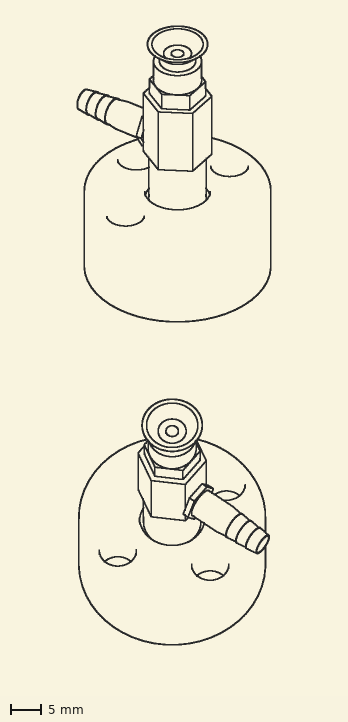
import cadquery as cq
import math

BASE_DIAMETER = 31.0
BASE_HEIGHT = 16.0
EDGE_ROUND = 0.6
RECESS_DIAMETER = 10.85
RECESS_DEPTH = 2.0
SCREW_CIRCLE_RADIUS = 11.0
SCREW_ANGLES = (90, 180, 270)
SCREW_HOLE_DIAMETER = 3.5
COUNTERBORE_DIAMETER = 6.15
COUNTERBORE_DEPTH = BASE_HEIGHT / 2

STEM_BOTTOM = BASE_HEIGHT - RECESS_DEPTH
STEM_DIAMETER = 9.5
HEX_TURN = 17.5
BODY_BOTTOM = 23.5
BODY_HEIGHT = 12.0
BODY_ACROSS_FLATS = 9.9
NUT_HEIGHT = 3.0
NUT_ACROSS_FLATS = 8.1
COLLAR_DIAMETER = 8.0
COLLAR_HEIGHT = 4.0
NECK_DIAMETER = 6.03
CUP_RIM_DIAMETER = 10.05
CUP_HEIGHT = 1.95
CUP_MOUTH_DIAMETER = 8.5
CUP_FLOOR_DIAMETER = 4.65
PASSAGE_DIAMETER = 2.05
TOTAL_HEIGHT = 46.0

BODY_TOP = BODY_BOTTOM + BODY_HEIGHT
NUT_TOP = BODY_TOP + NUT_HEIGHT
COLLAR_TOP = NUT_TOP + COLLAR_HEIGHT
CUP_FLOOR = TOTAL_HEIGHT - CUP_HEIGHT

FLANGE_ACROSS_FLATS = 6.0
FLANGE_THICKNESS = 1.0
TUBE_RADIUS = 2.5
TUBE_LENGTH = 5.05
RIDGE_COUNT = 4
RIDGE_LENGTH = 2.0
RIDGE_RISE = 0.28
RIDGE_STEP = 0.15
BARB_BORE_DIAMETER = 3.2
BARB_AXIS_HEIGHT = BODY_BOTTOM + FLANGE_ACROSS_FLATS / 2


def cylinder(diameter, bottom, top):
    """Upright cylinder on the Z axis."""
    return cq.Workplane("XY").workplane(offset=bottom).circle(diameter / 2).extrude(top - bottom)


def hexagon_diameter(across_flats):
    """Diameter through the corners of a hexagon."""
    return across_flats / math.cos(math.radians(30))


def hex_prism(across_flats, bottom, top):
    """Upright hexagonal prism on the Z axis, with one flat facing the barb."""
    prism = (
        cq.Workplane("XY")
        .workplane(offset=bottom)
        .polygon(6, hexagon_diameter(across_flats))
        .extrude(top - bottom)
    )
    return prism.rotate((0, 0, 0), (0, 0, 1), HEX_TURN + 30)


def barb_plane(distance):
    """Plane across the barb axis at a distance from the Z axis; its normal points outwards."""
    angle = math.radians(180 + HEX_TURN)
    outward = cq.Vector(math.cos(angle), math.sin(angle), 0)
    origin = outward * distance + cq.Vector(0, 0, BARB_AXIS_HEIGHT)
    across = cq.Vector(-math.sin(angle), math.cos(angle), 0)
    return cq.Plane(origin=origin, xDir=across, normal=outward)


def screw_hole_cutter():
    """Counterbored hole on the Z axis, with a rounded edge where the small hole starts."""
    hole_radius = SCREW_HOLE_DIAMETER / 2
    bore_radius = COUNTERBORE_DIAMETER / 2
    floor = BASE_HEIGHT - COUNTERBORE_DEPTH
    return (
        cq.Workplane("XZ")
        .lineTo(hole_radius, 0)
        .lineTo(hole_radius, floor - EDGE_ROUND)
        .radiusArc((hole_radius + EDGE_ROUND, floor), EDGE_ROUND)
        .lineTo(bore_radius, floor)
        .lineTo(bore_radius, BASE_HEIGHT)
        .lineTo(0, BASE_HEIGHT)
        .close()
        .revolve(360, (0, 0, 0), (0, 1, 0))
    )


def make_base():
    base = cylinder(BASE_DIAMETER, 0, BASE_HEIGHT)
    base = base.cut(cylinder(RECESS_DIAMETER, STEM_BOTTOM, BASE_HEIGHT))
    for angle in SCREW_ANGLES:
        cutter = screw_hole_cutter().translate((SCREW_CIRCLE_RADIUS, 0, 0))
        base = base.cut(cutter.rotate((0, 0, 0), (0, 0, 1), angle))
    return base.faces(">Z").edges().fillet(EDGE_ROUND)


def make_cup():
    """Flared suction cup with a flat floor, level with the top of the neck."""
    return (
        cq.Workplane("XZ")
        .moveTo(0, CUP_FLOOR)
        .lineTo(NECK_DIAMETER / 2, CUP_FLOOR)
        .lineTo(CUP_RIM_DIAMETER / 2, TOTAL_HEIGHT)
        .lineTo(CUP_MOUTH_DIAMETER / 2, TOTAL_HEIGHT)
        .lineTo(CUP_FLOOR_DIAMETER / 2, CUP_FLOOR)
        .close()
        .revolve(360, (0, 0, 0), (0, 1, 0))
    )


def make_fitting():
    fitting = (
        cylinder(STEM_DIAMETER, STEM_BOTTOM, BODY_BOTTOM)
        .union(hex_prism(BODY_ACROSS_FLATS, BODY_BOTTOM, BODY_TOP))
        .union(hex_prism(NUT_ACROSS_FLATS, BODY_TOP, NUT_TOP))
        .union(cylinder(COLLAR_DIAMETER, NUT_TOP, COLLAR_TOP))
        .union(cylinder(NECK_DIAMETER, COLLAR_TOP, CUP_FLOOR))
        .union(make_cup())
    )
    port_bottom = BARB_AXIS_HEIGHT - BARB_BORE_DIAMETER / 2
    passage = cylinder(PASSAGE_DIAMETER, port_bottom, CUP_FLOOR)
    port = cq.Workplane(barb_plane(0)).circle(BARB_BORE_DIAMETER / 2).extrude(BODY_ACROSS_FLATS / 2)
    return fitting.cut(passage).cut(port)


def make_barb():
    body_face = BODY_ACROSS_FLATS / 2
    flange = (
        cq.Workplane(barb_plane(body_face))
        .polygon(6, hexagon_diameter(FLANGE_ACROSS_FLATS))
        .extrude(FLANGE_THICKNESS)
    )
    position = body_face + FLANGE_THICKNESS
    barb = flange.union(cq.Workplane(barb_plane(position)).circle(TUBE_RADIUS).extrude(TUBE_LENGTH))
    position += TUBE_LENGTH
    ridge_radius = TUBE_RADIUS
    for _ in range(RIDGE_COUNT):
        ridge = (
            cq.Workplane(barb_plane(position))
            .circle(ridge_radius)
            .workplane(offset=RIDGE_LENGTH)
            .circle(ridge_radius - RIDGE_RISE)
            .loft()
        )
        barb = barb.union(ridge)
        position += RIDGE_LENGTH
        ridge_radius += RIDGE_STEP - RIDGE_RISE
    bore_length = position - body_face
    bore = cq.Workplane(barb_plane(body_face)).circle(BARB_BORE_DIAMETER / 2).extrude(bore_length)
    return barb.cut(bore)


base = make_base()
fitting = make_fitting()
barb = make_barb()

result = cq.Compound.makeCompound([base.val(), fitting.val(), barb.val()])